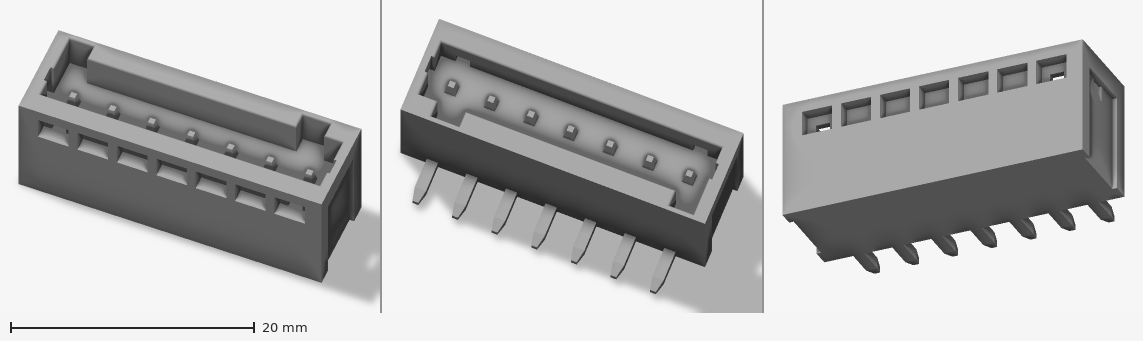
import cadquery as cq

body_length = 26.9
body_depth = 8.53
body_height = 10.4

contact_count = 7
contact_pitch = 3.5
row_center_x = 0.13
row_y = 4.22
first_contact_x = row_center_x - contact_pitch * (contact_count - 1) / 2
contact_xs = [first_contact_x + i * contact_pitch for i in range(contact_count)]

pin_width = 1.0
pin_tip_width = 0.5
tail_tip_length = 1.13
tail_length = 3.77
tail_end_y = body_depth + tail_length

floor_z = 7.13
cavity_length = 24.8
cavity_front_y = 1.83
cavity_back_y = 6.7
rim_radius = 0.2

contact_top = 8.35
contact_tip_length = contact_top - floor_z

notch_back_y = 8.1
corner_notch_right_x = -10.15
key_notch_left_x = 8.42
key_notch_right_x = 10.9

groove_width = 1.45
groove_center_y = 3.98
grooved_length = 25.4

recess_front_y = 1.37
recess_back_y = 6.97
recess_depth = 0.4
opening_top = 8.5

window_width = 2.72
window_height = 2.2
window_depth = 1.2
window_slot_width = 1.26


def block(x_range, y_range, z_range):
    """Box spanning the given (low, high) range on each axis."""
    corner = cq.Vector(x_range[0], y_range[0], z_range[0])
    sizes = [high - low for low, high in (x_range, y_range, z_range)]
    return cq.Workplane(cq.Solid.makeBox(*sizes, corner))


def centered(middle, width):
    """Range of the given width about a middle value."""
    return (middle - width / 2, middle + width / 2)


def square_pin(start, direction, length, tip_length):
    """Square pin running from start along direction, ending in a tapered tip."""
    base = cq.Workplane(cq.Plane(origin=start, xDir=(1, 0, 0), normal=direction))
    shank_length = length - tip_length
    shank = base.rect(pin_width, pin_width).extrude(shank_length)
    tip = (
        base.workplane(offset=shank_length)
        .rect(pin_width, pin_width)
        .workplane(offset=tip_length)
        .rect(pin_tip_width, pin_tip_width)
        .loft(ruled=True)
    )
    return shank.union(tip)


def cavity_outline():
    """Closed cavity outline at floor level, including the two back notches."""
    left_x, right_x = centered(row_center_x, cavity_length)
    corners = [
        (left_x, cavity_front_y),
        (right_x, cavity_front_y),
        (right_x, cavity_back_y),
        (key_notch_right_x, cavity_back_y),
        (key_notch_right_x, notch_back_y),
        (key_notch_left_x, notch_back_y),
        (key_notch_left_x, cavity_back_y),
        (corner_notch_right_x, cavity_back_y),
        (corner_notch_right_x, notch_back_y),
        (left_x, notch_back_y),
    ]
    return cq.Workplane("XY").workplane(offset=floor_z).polyline(corners).close()


housing = block(centered(0, body_length), (0, body_depth), (0, body_height))
housing = housing.cut(cavity_outline().extrude(body_height - floor_z))
inner_rim = housing.faces(">Z").wires(cq.selectors.LengthNthSelector(0))
housing = inner_rim.fillet(rim_radius)

groove_y = centered(groove_center_y, groove_width)
housing = housing.cut(block(centered(row_center_x, grooved_length), groove_y, (floor_z, body_height)))

for outer_x in (-body_length / 2, body_length / 2):
    recess_x = centered(outer_x, 2 * recess_depth)
    housing = housing.cut(block(recess_x, (recess_front_y, recess_back_y), (0, opening_top)))

housing = housing.cut(block(centered(0, body_length), groove_y, (floor_z, opening_top)))

for x in contact_xs:
    window_z = (floor_z, floor_z + window_height)
    housing = housing.cut(block(centered(x, window_width), (0, window_depth), window_z))

for x in (contact_xs[0], contact_xs[-1]):
    slot_x = centered(x, window_slot_width)
    housing = housing.cut(block(slot_x, (0, row_y), (floor_z, opening_top)))

result = housing
for x in contact_xs:
    result = result.union(square_pin((x, row_y, 0), (0, 0, 1), contact_top, contact_tip_length))
    tail_start = (x, row_y, pin_width / 2)
    result = result.union(square_pin(tail_start, (0, 1, 0), tail_end_y - row_y, tail_tip_length))